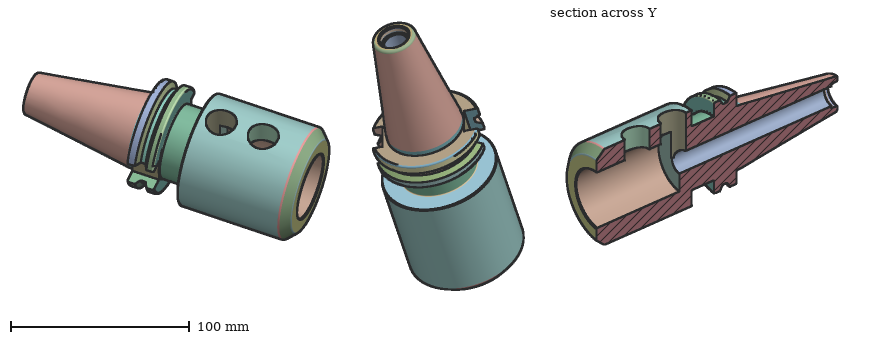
import cadquery as cq
import math

LENGTH = 169.8

SHANK_RADIUS = 22.3
TAPER_END = 68.1
TAPER_RATIO = 7 / 24
NOSE_RADIUS = SHANK_RADIUS - TAPER_END * TAPER_RATIO / 2
NOSE_ROUND = 1.7
NECK_ROOT_ROUND = 0.5

FLANGE_START = 71.0
FLANGE_END = 87.1
FLANGE_RADIUS = 31.6
FLANGE_ROUND = 1.0
GROOVE_CENTER = 79.3
GROOVE_WIDTH = 7.0
GROOVE_FLOOR_RADIUS = 28.0
GROOVE_SIDE_ANGLE = 30

SLOT_WIDTH = 16.8
SLOT_FLOOR_FRONT = 22.5
SLOT_FLOOR_BACK = 24.8

BODY_START = 102.6
BODY_RADIUS = 33.3
BODY_REAR_CHAMFER = 0.5
BODY_FRONT_CHAMFER = 5.6
BODY_FRONT_ROUND = 1.5

THROUGH_RADIUS = 13.5 / 2
PILOT_MOUTH_CHAMFER = 0.7
PILOT_ENTRY_RADIUS = 16.8 / 2
PILOT_ENTRY_END = 2.0
PILOT_RADIUS = 16.3 / 2
PILOT_TAPER_END = 3.2
PILOT_END = 4.5
BORE_RADIUS = 38.0 / 2
BORE_START = 111.6
BORE_MOUTH_CHAMFER = 0.5

SCREW_DIAMETER = 17.3
SCREW_POSITIONS = (115.7, 141.1)


def cylinder(start, end, radius):
    """Cylinder on the X axis from start to end."""
    return cq.Workplane("YZ").workplane(offset=start).circle(radius).extrude(end - start)


def revolve_about_x(points):
    """Turned solid from a closed (x, radius) outline."""
    return cq.Workplane("XY").polyline(points).close().revolve(360, (0, 0, 0), (1, 0, 0))


def make_shank():
    taper = revolve_about_x(
        [(0, 0), (0, NOSE_RADIUS), (TAPER_END, SHANK_RADIUS), (TAPER_END, 0)]
    )
    taper = taper.faces("<X").edges().fillet(NOSE_ROUND)
    return taper.union(cylinder(TAPER_END, BODY_START, SHANK_RADIUS))


def make_groove():
    side_run = (FLANGE_RADIUS - GROOVE_FLOOR_RADIUS) * math.tan(math.radians(GROOVE_SIDE_ANGLE))
    half_top = GROOVE_WIDTH / 2
    half_floor = half_top - side_run
    return revolve_about_x(
        [
            (GROOVE_CENTER - half_top, FLANGE_RADIUS),
            (GROOVE_CENTER - half_floor, GROOVE_FLOOR_RADIUS),
            (GROOVE_CENTER + half_floor, GROOVE_FLOOR_RADIUS),
            (GROOVE_CENTER + half_top, FLANGE_RADIUS),
        ]
    )


def make_neck_root(face, direction):
    """Concave round between the neck and a face; direction points along X away from that face."""
    radius = NECK_ROOT_ROUND
    arc_middle = radius * (1 - math.sqrt(0.5))
    return (
        cq.Workplane("XY")
        .moveTo(face, SHANK_RADIUS)
        .lineTo(face, SHANK_RADIUS + radius)
        .threePointArc(
            (face + direction * arc_middle, SHANK_RADIUS + arc_middle),
            (face + direction * radius, SHANK_RADIUS),
        )
        .close()
        .revolve(360, (0, 0, 0), (1, 0, 0))
    )


def make_slot(side, floor):
    """Drive slot cutter; side is -1 or +1 along Y."""
    depth = FLANGE_RADIUS - floor
    return cq.Workplane("XY").box(FLANGE_END - FLANGE_START, depth, SLOT_WIDTH).translate(
        ((FLANGE_START + FLANGE_END) / 2, side * (floor + depth / 2), 0)
    )


def make_flange():
    flange = cylinder(FLANGE_START, FLANGE_END, FLANGE_RADIUS).edges().fillet(FLANGE_ROUND)
    flange = flange.cut(make_groove())
    flange = flange.cut(make_slot(-1, SLOT_FLOOR_FRONT))
    return flange.cut(make_slot(1, SLOT_FLOOR_BACK))


def make_body():
    body = cylinder(BODY_START, LENGTH, BODY_RADIUS)
    body = body.faces(">X").edges().chamfer(BODY_FRONT_CHAMFER)
    body = body.faces("%CONE").edges("%CIRCLE").fillet(BODY_FRONT_ROUND)
    return body.faces("<X").edges().chamfer(BODY_REAR_CHAMFER)


def make_axial_holes():
    through = cylinder(0, LENGTH, THROUGH_RADIUS)
    pilot = revolve_about_x(
        [
            (0, 0),
            (0, PILOT_ENTRY_RADIUS + PILOT_MOUTH_CHAMFER),
            (PILOT_MOUTH_CHAMFER, PILOT_ENTRY_RADIUS),
            (PILOT_ENTRY_END, PILOT_ENTRY_RADIUS),
            (PILOT_TAPER_END, PILOT_RADIUS),
            (PILOT_END, PILOT_RADIUS),
            (PILOT_END, 0),
        ]
    )
    bore = revolve_about_x(
        [
            (BORE_START, 0),
            (BORE_START, BORE_RADIUS),
            (LENGTH - BORE_MOUTH_CHAMFER, BORE_RADIUS),
            (LENGTH, BORE_RADIUS + BORE_MOUTH_CHAMFER),
            (LENGTH, 0),
        ]
    )
    return through.union(pilot).union(bore)


def make_screw_holes():
    """Radial holes from the top of the body down into the bore."""
    centers = [(x, 0) for x in SCREW_POSITIONS]
    return cq.Workplane("XY").pushPoints(centers).circle(SCREW_DIAMETER / 2).extrude(BODY_RADIUS)


result = make_shank().union(make_flange()).union(make_body())
result = result.union(make_neck_root(FLANGE_END, 1)).union(make_neck_root(BODY_START, -1))
result = result.cut(make_axial_holes()).cut(make_screw_holes())